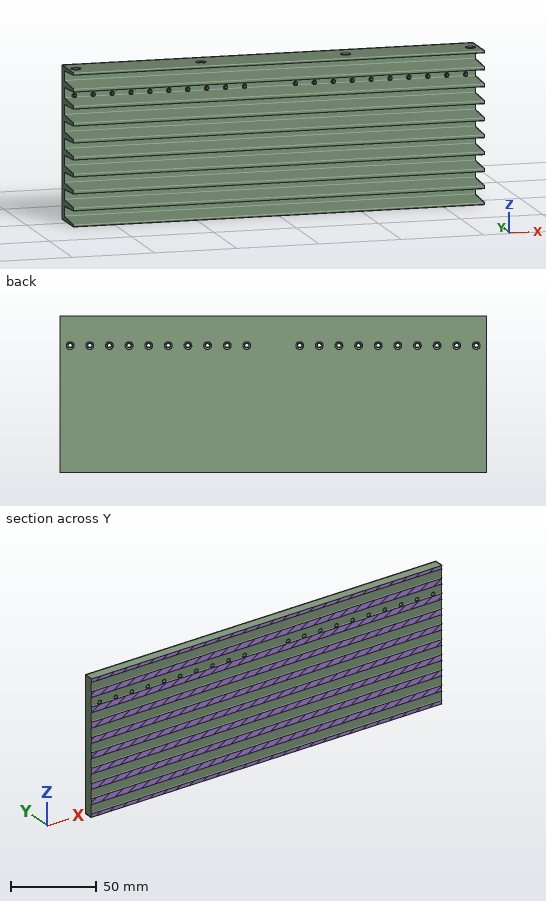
import cadquery as cq

length = 250.0
depth = 26.0
height = 92.0

base_thickness = 6.0
fin_count = 10
fin_root_thickness = 4.0
fin_tip_thickness = 1.8
end_fin_root_thickness = 2.5
end_fin_tip_thickness = 1.2
fin_tip_radius = 0.5
fin_root_radius = 0.5

end_fin_spacing = 10.5
middle_fin_count = fin_count - 2
middle_fin_span = height - 2 * end_fin_spacing
fin_pitch = middle_fin_span / (middle_fin_count - 1)

vent_diameter = 2.5
vent_sink_diameter = 4.5
vent_sink_angle = 90
vent_pitch = 11.5
vents_per_group = 10
vent_end_distance = 6.0
vent_drop = 17.5

screw_diameter = 3.8
screw_sink_diameter = 5.8
screw_sink_angle = 120
screw_end_distance = 5.0
screw_inner_offset = 44.0
screw_offsets = (length / 2 - screw_end_distance, screw_inner_offset)
screw_hole_depth = end_fin_spacing / 2

base_front = depth - base_thickness


def extrude_along_length(outline):
    """Prism along X, centred on the origin, from an outline of (y, z) points."""
    return cq.Workplane("YZ").polyline(outline).close().extrude(length / 2, both=True)


def middle_fin(z):
    """Fin that tapers evenly on both faces, centred at height z."""
    root = fin_root_thickness / 2
    tip = fin_tip_thickness / 2
    return extrude_along_length(
        [(base_front, z - root), (0, z - tip), (0, z + tip), (base_front, z + root)]
    )


def end_fin(side):
    """Fin with a flat outer face, at the top (side = 1) or the bottom (side = -1)."""
    outer = side * height / 2
    root = outer - side * end_fin_root_thickness
    tip = outer - side * end_fin_tip_thickness
    return extrude_along_length([(base_front, outer), (0, outer), (0, tip), (base_front, root)])


def fillet_edges_at(body, y, radius):
    """Round the lengthwise edges that lie at depth y."""
    margin = radius / 2
    edges = cq.selectors.BoxSelector(
        (-length, y - margin, -height),
        (length, y + margin, height),
    )
    return body.edges("|X").edges(edges).fillet(radius)


def finned_body():
    base_middle = depth - base_thickness / 2
    body = cq.Workplane("XY").box(length, base_thickness, height).translate((0, base_middle, 0))
    for side in (-1, 1):
        body = body.union(end_fin(side))
    for i in range(middle_fin_count):
        body = body.union(middle_fin(i * fin_pitch - middle_fin_span / 2))
    body = fillet_edges_at(body, base_front, fin_root_radius)
    return fillet_edges_at(body, 0, fin_tip_radius)


def cut_vent_holes(body):
    z = height / 2 - vent_drop
    first_offset = length / 2 - vent_end_distance
    offsets = [first_offset - i * vent_pitch for i in range(vents_per_group)]
    points = [(side * x, z) for side in (-1, 1) for x in offsets]
    back = cq.Workplane(cq.Plane(origin=(0, depth, 0), xDir=(-1, 0, 0), normal=(0, 1, 0)))
    return (
        body.copyWorkplane(back)
        .pushPoints(points)
        .cskHole(vent_diameter, vent_sink_diameter, vent_sink_angle, depth=base_thickness)
    )


def cut_screw_holes(body):
    points = [(side * x, depth / 2) for side in (-1, 1) for x in screw_offsets]
    top = cq.Workplane("XY", origin=(0, 0, height / 2))
    return (
        body.copyWorkplane(top)
        .pushPoints(points)
        .cskHole(screw_diameter, screw_sink_diameter, screw_sink_angle, depth=screw_hole_depth)
    )


result = cut_screw_holes(cut_vent_holes(finned_body()))